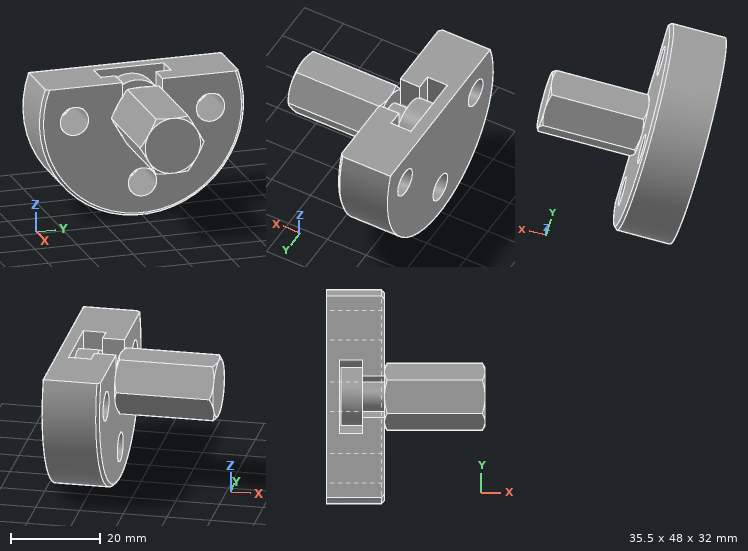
import cadquery as cq
import math

plate_diameter = 48.0
plate_radius = plate_diameter / 2
plate_thickness = 13.0
flat_height = plate_radius / 3
rim_chamfer = 0.7

hole_diameter = 6.6
hole_offset = plate_diameter / 3
hole_directions = [(1, 0), (-1, 0), (0, -1)]

slot_start = 2.9
slot_step = 8.0
head_slot_width = 16.45
neck_slot_width = 9.4

head_diameter = 13.0
head_thickness = 4.8
neck_diameter = 6.7
hex_across_flats = 13.0
hex_across_corners = hex_across_flats / math.cos(math.radians(30))
stud_end = 35.5
hex_length = stud_end - plate_thickness
hex_chamfer_angle = 30.0


def yz_plane(x):
    """Work plane at the given X, with local axes along Y and Z."""
    return cq.Workplane("YZ", origin=(x, 0, 0))


def disc(diameter, start, end):
    """Cylinder on the X axis between two X positions."""
    return yz_plane(start).circle(diameter / 2).extrude(end - start)


def slot_cutter(width, start, end):
    """Slot with a half-round floor about the X axis, open at the flat top."""
    radius = width / 2
    return (
        yz_plane(start)
        .moveTo(-radius, flat_height)
        .lineTo(-radius, 0)
        .threePointArc((0, -radius), (radius, 0))
        .lineTo(radius, flat_height)
        .close()
        .extrude(end - start)
    )


def make_plate():
    body = disc(plate_diameter, 0, plate_thickness).faces(">X").chamfer(rim_chamfer)

    keep_height = plate_radius + flat_height
    below_flat = (
        yz_plane(0)
        .center(0, flat_height - keep_height / 2)
        .rect(plate_diameter, keep_height)
        .extrude(plate_thickness)
    )
    body = body.intersect(below_flat)

    hole_centers = [(hole_offset * y, hole_offset * z) for y, z in hole_directions]
    holes = yz_plane(0).pushPoints(hole_centers).circle(hole_diameter / 2).extrude(plate_thickness)
    body = body.cut(holes)

    body = body.cut(slot_cutter(head_slot_width, slot_start, slot_step))
    return body.cut(slot_cutter(neck_slot_width, slot_step, plate_thickness))


def make_hex_shank():
    """Hexagon with flats above and below, its corners turned down conically at both ends."""
    hexagon = yz_plane(plate_thickness).polygon(6, hex_across_corners).extrude(hex_length)
    corner_depth = (hex_across_corners - hex_across_flats) / 2
    chamfer_length = corner_depth * math.tan(math.radians(hex_chamfer_angle))
    envelope = (
        cq.Workplane("XY")
        .moveTo(plate_thickness, 0)
        .lineTo(plate_thickness, hex_across_flats / 2)
        .lineTo(plate_thickness + chamfer_length, hex_across_corners / 2)
        .lineTo(stud_end - chamfer_length, hex_across_corners / 2)
        .lineTo(stud_end, hex_across_flats / 2)
        .lineTo(stud_end, 0)
        .close()
        .revolve(360, (0, 0, 0), (1, 0, 0))
    )
    return hexagon.intersect(envelope)


def make_stud():
    head = disc(head_diameter, slot_step - head_thickness, slot_step)
    neck = disc(neck_diameter, slot_step, plate_thickness)
    return head.union(neck).union(make_hex_shank())


plate = make_plate()
stud = make_stud()

result = cq.Compound.makeCompound([plate.solids().val(), stud.solids().val()])